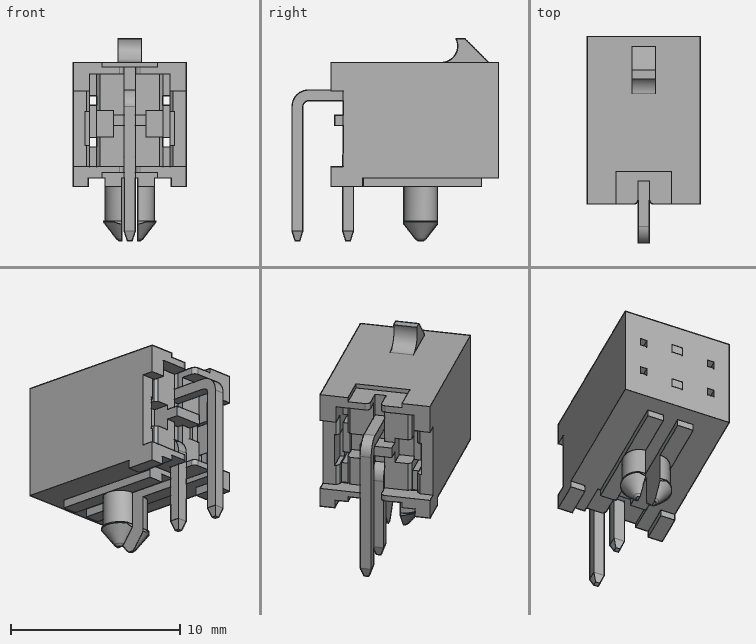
import cadquery as cq


OVERALL_DEPTH = 12.22

WIDTH = 6.71
DEPTH = 9.92
TOP_Z = 7.35
FOOT_HEIGHT = 0.5

OPENING_WIDTH = 4.74
OPENING_BOTTOM_Z = 1.17
OPENING_TOP_Z = 6.66
CORE_FACE_Y = 1.0
CHEEK_FACE_Y = 0.73
CHEEK_TOP_Z = 5.65
EDGE_CHAMFER = 0.18

CORE_WIDTH = 3.91
CORE_WAIST_WIDTH = 1.93
WAIST_BOTTOM_Z = 2.93
WAIST_TOP_Z = 4.5
GAP_FLOOR_Y = 1.71
LOWER_GAP_FLOOR_Y = 1.37
GROOVE_START_Y = 1.09
GROOVE_DEPTH = 0.1
POCKET_FLOOR_Y = 2.05

CHEEK_SLOT_SPAN = 5.28
CHEEK_SLOT_BOTTOM_Z = 2.43
CHEEK_SLOT_TOP_Z = 4.45
WINDOW_HEIGHT = 0.55
LOWER_WINDOW_Z = 2.35
UPPER_WINDOW_Z = 4.81

RECESS_WIDTH = 3.29
RECESS_DEPTH_Y = 1.93
TOP_RECESS_DEPTH = 0.27
BOTTOM_RECESS_DEPTH = 0.32
PIN_SLOT_DEPTH = LOWER_GAP_FLOOR_Y
SLOT_MOUTH_RADIUS = 0.27

TAB_FACE_Y = 0.22
TAB_BOTTOM_Z = 3.6
TAB_TOP_Z = 4.23

FOOT_WIDTH = 0.9
FOOT_LENGTH = 1.88
RAIL_END_Y = 8.92
SPLIT_WIDTH = 0.93

LEG_RADIUS = 1.0
LEG_CENTRE_Y = 5.32
BARB_RADIUS = 1.09
BARB_NOSE_RADIUS = 0.32
BARB_TIP_RADIUS = 0.17
BARB_TOP_Z = -2.03
BARB_CONE_Z = -2.1
BARB_NOSE_Z = -3.09

LATCH_WIDTH = 1.42
LATCH_HEIGHT = 1.4
LATCH_RAMP_END_Y = 9.34
LATCH_HOOK_END_Y = 6.54
LATCH_HOOK_RADIUS = 0.97

PIN_WIDTH = 0.67
PIN_THICKNESS = 0.65
PIN_BEND_RADIUS = 0.99
PIN_BOTTOM_Z = -3.21
PIN_TIP_LENGTH = 0.59
PIN_TIP_WIDTH = 0.28
PIN_PITCH = 3.0
UPPER_PIN_FACE_Y = DEPTH - OVERALL_DEPTH
UPPER_PIN_TOP_Z = 5.72

PINS = [
    (UPPER_PIN_FACE_Y, UPPER_PIN_TOP_Z),
    (UPPER_PIN_FACE_Y + PIN_PITCH, UPPER_PIN_TOP_Z - PIN_PITCH),
]

GAP_WIDTH = (OPENING_WIDTH - CORE_WIDTH) / 2
GAP_CENTRE_X = (OPENING_WIDTH + CORE_WIDTH) / 4
RAIL_WIDTH = SPLIT_WIDTH + 2 * LEG_RADIUS
SIDES = (-1, 1)


def block(width, y_start, y_end, z_start, z_end, centre_x=0.0):
    """A box centred on centre_x that spans the given Y and Z ranges."""
    return (
        cq.Workplane("XY")
        .box(width, y_end - y_start, z_end - z_start, centered=(True, False, False))
        .translate((centre_x, y_start, z_start))
    )


def make_core():
    """The core with chamfered back corners and a narrow waist at mid-height."""
    core = block(CORE_WIDTH, CORE_FACE_Y, DEPTH, OPENING_BOTTOM_Z, OPENING_TOP_Z)
    core = core.faces("<Y").edges("|Z").chamfer(EDGE_CHAMFER)
    notch_width = (CORE_WIDTH - CORE_WAIST_WIDTH) / 2
    for side in SIDES:
        notch_x = side * (CORE_WIDTH + CORE_WAIST_WIDTH) / 4
        core = core.cut(block(notch_width, 0, POCKET_FLOOR_Y, WAIST_BOTTOM_Z, WAIST_TOP_Z, notch_x))
    return core


def make_cheek_funnel():
    """The chamfer that widens the opening between the cheeks, below their overhang."""
    half_width = OPENING_WIDTH / 2
    mouth = half_width + EDGE_CHAMFER
    return (
        cq.Workplane("XY", origin=(0, 0, OPENING_BOTTOM_Z))
        .polyline(
            [
                (-mouth, CHEEK_FACE_Y),
                (mouth, CHEEK_FACE_Y),
                (half_width, CHEEK_FACE_Y + EDGE_CHAMFER),
                (-half_width, CHEEK_FACE_Y + EDGE_CHAMFER),
            ]
        )
        .close()
        .extrude(CHEEK_TOP_Z - OPENING_BOTTOM_Z)
    )


def make_pin_slot():
    """The vertical slot for the pins, with a rounded mouth."""
    half_width = PIN_WIDTH / 2
    mouth = half_width + SLOT_MOUTH_RADIUS
    return (
        cq.Workplane("XY", origin=(0, 0, FOOT_HEIGHT))
        .moveTo(-mouth, 0)
        .radiusArc((-half_width, SLOT_MOUTH_RADIUS), -SLOT_MOUTH_RADIUS)
        .lineTo(-half_width, PIN_SLOT_DEPTH)
        .lineTo(half_width, PIN_SLOT_DEPTH)
        .lineTo(half_width, SLOT_MOUTH_RADIUS)
        .radiusArc((mouth, 0), -SLOT_MOUTH_RADIUS)
        .close()
        .extrude(TOP_Z - FOOT_HEIGHT)
    )


def make_latch():
    """The ramp on the top face, undercut by a round hook."""
    latch_top_z = TOP_Z + LATCH_HEIGHT
    ramp = (
        cq.Workplane("YZ")
        .polyline(
            [
                (LATCH_HOOK_END_Y, TOP_Z),
                (LATCH_RAMP_END_Y, TOP_Z),
                (LATCH_RAMP_END_Y - LATCH_HEIGHT, latch_top_z),
                (LATCH_HOOK_END_Y, latch_top_z),
            ]
        )
        .close()
        .extrude(LATCH_WIDTH / 2, both=True)
    )
    hook = (
        cq.Workplane("YZ")
        .center(LATCH_HOOK_END_Y, TOP_Z + LATCH_HOOK_RADIUS)
        .circle(LATCH_HOOK_RADIUS)
        .extrude(LATCH_WIDTH, both=True)
    )
    return ramp.cut(hook)


def make_board_lock_leg(side):
    """One half-round leg whose barb is a cone with flats level with the leg."""
    centre_x = side * SPLIT_WIDTH / 2
    leg_and_barb = (
        cq.Workplane("XZ")
        .polyline(
            [
                (0, FOOT_HEIGHT),
                (LEG_RADIUS, FOOT_HEIGHT),
                (LEG_RADIUS, BARB_TOP_Z),
                (BARB_RADIUS, BARB_TOP_Z),
                (BARB_RADIUS, BARB_CONE_Z),
                (BARB_NOSE_RADIUS, BARB_NOSE_Z),
                (BARB_TIP_RADIUS, PIN_BOTTOM_Z),
                (0, PIN_BOTTOM_Z),
            ]
        )
        .close()
        .revolve(360, (0, 0, 0), (0, 1, 0))
    )
    outer_half = block(
        BARB_RADIUS, -LEG_RADIUS, LEG_RADIUS, PIN_BOTTOM_Z, FOOT_HEIGHT, side * BARB_RADIUS / 2
    )
    return leg_and_barb.intersect(outer_half).translate((centre_x, LEG_CENTRE_Y, 0))


def make_housing():
    """The housing with its core, flanges, feet, board lock and latch, without the pin holes."""
    body = block(WIDTH, 0, DEPTH, FOOT_HEIGHT, TOP_Z)

    body = body.cut(block(OPENING_WIDTH, 0, LOWER_GAP_FLOOR_Y, OPENING_BOTTOM_Z, OPENING_TOP_Z))
    body = body.cut(block(OPENING_WIDTH, 0, GAP_FLOOR_Y, LOWER_WINDOW_Z, OPENING_TOP_Z))

    body = body.cut(block(WIDTH, 0, CHEEK_FACE_Y, OPENING_BOTTOM_Z, CHEEK_TOP_Z))
    body = body.cut(make_cheek_funnel())

    slot_width = (CHEEK_SLOT_SPAN - OPENING_WIDTH) / 2
    for side in SIDES:
        slot_x = side * (CHEEK_SLOT_SPAN + OPENING_WIDTH) / 4
        body = body.cut(
            block(slot_width, 0, POCKET_FLOOR_Y, CHEEK_SLOT_BOTTOM_Z, CHEEK_SLOT_TOP_Z, slot_x)
        )
    body = body.cut(block(CORE_WIDTH, 0, POCKET_FLOOR_Y, WAIST_BOTTOM_Z, WAIST_TOP_Z))
    body = body.union(make_core())

    groove_floor_z = OPENING_BOTTOM_Z - GROOVE_DEPTH
    for side in SIDES:
        gap_x = side * GAP_CENTRE_X
        body = body.cut(
            block(
                GAP_WIDTH, GROOVE_START_Y, LOWER_GAP_FLOOR_Y, groove_floor_z, OPENING_BOTTOM_Z, gap_x
            )
        )
        for bottom_z in (LOWER_WINDOW_Z, UPPER_WINDOW_Z):
            body = body.cut(
                block(GAP_WIDTH, 0, DEPTH, bottom_z, bottom_z + WINDOW_HEIGHT, gap_x)
            )

    body = body.cut(block(RECESS_WIDTH, 0, RECESS_DEPTH_Y, TOP_Z - TOP_RECESS_DEPTH, TOP_Z))
    body = body.cut(
        block(RECESS_WIDTH, 0, RECESS_DEPTH_Y, FOOT_HEIGHT, FOOT_HEIGHT + BOTTOM_RECESS_DEPTH)
    )
    body = body.cut(make_pin_slot())
    body = body.union(block(CORE_WAIST_WIDTH, TAB_FACE_Y, POCKET_FLOOR_Y, TAB_BOTTOM_Z, TAB_TOP_Z))

    rail_width = (RAIL_WIDTH - SPLIT_WIDTH) / 2
    for side in SIDES:
        foot_x = side * (WIDTH - FOOT_WIDTH) / 2
        body = body.union(block(FOOT_WIDTH, 0, FOOT_LENGTH, 0, FOOT_HEIGHT, foot_x))
        rail_x = side * (RAIL_WIDTH + SPLIT_WIDTH) / 4
        body = body.union(block(rail_width, RECESS_DEPTH_Y, RAIL_END_Y, 0, FOOT_HEIGHT, rail_x))
        body = body.union(make_board_lock_leg(side))

    return body.union(make_latch())


def make_pin(face_y, top_z):
    """A right-angle pin from the mating face of the housing down to a tapered tip."""
    bend_y = face_y + PIN_BEND_RADIUS
    bend_z = top_z - PIN_BEND_RADIUS
    inner_y = face_y + PIN_THICKNESS
    inner_z = top_z - PIN_THICKNESS
    inner_radius = PIN_BEND_RADIUS - PIN_THICKNESS
    shoulder_z = PIN_BOTTOM_Z + PIN_TIP_LENGTH
    bar = (
        cq.Workplane("YZ")
        .moveTo(DEPTH, top_z)
        .lineTo(bend_y, top_z)
        .radiusArc((face_y, bend_z), -PIN_BEND_RADIUS)
        .lineTo(face_y, shoulder_z)
        .lineTo(inner_y, shoulder_z)
        .lineTo(inner_y, bend_z)
        .radiusArc((bend_y, inner_z), inner_radius)
        .lineTo(DEPTH, inner_z)
        .close()
        .extrude(PIN_WIDTH / 2, both=True)
    )
    tip = (
        cq.Workplane("XY", origin=(0, face_y + PIN_THICKNESS / 2, shoulder_z))
        .rect(PIN_WIDTH, PIN_THICKNESS)
        .workplane(offset=-PIN_TIP_LENGTH)
        .rect(PIN_TIP_WIDTH, PIN_TIP_WIDTH)
        .loft()
    )
    return bar.union(tip)


pins = [make_pin(face_y, top_z) for face_y, top_z in PINS]

housing = make_housing()
for pin in pins:
    housing = housing.cut(pin)

result = cq.Compound.makeCompound([housing.val(), *[pin.val() for pin in pins]])